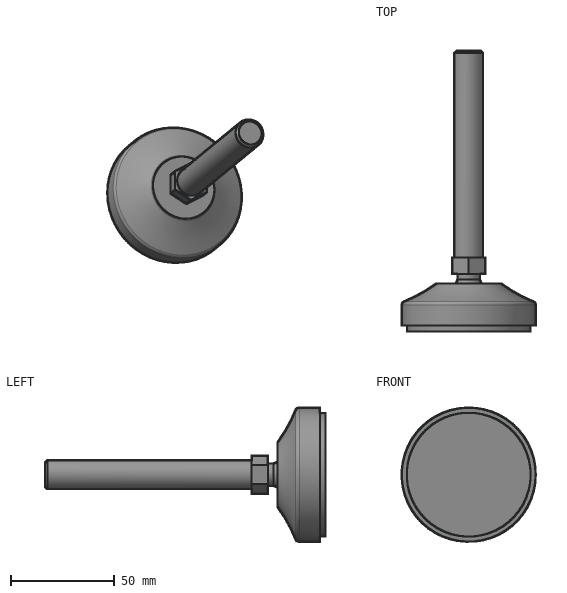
import cadquery as cq
import math

total_length = 136.0

pad_diameter = 60.0
pad_height = 2.9
foot_diameter = 65.0
rim_top = 12.8
rim_radius = 2.0
rim_round_angle = 60.0
foot_top = 23.4
top_diameter = 31.0
top_edge_drop = 0.4
top_edge_width = 0.7
slope_sag = 0.5

neck_diameter = 11.0
neck_flare = 0.7
neck_flare_top = 25.2
hex_bottom = 28.0
hex_height = 7.9
hex_across_flats = 16.0
stud_diameter = 14.0
stud_chamfer = 1.2


def make_foot():
    """Pad, rim and hollow slope, revolved about Y."""
    pad_r = pad_diameter / 2
    foot_r = foot_diameter / 2
    top_r = top_diameter / 2

    def on_rounding(degrees):
        angle = math.radians(degrees)
        return (
            foot_r - rim_radius + rim_radius * math.cos(angle),
            rim_top + rim_radius * math.sin(angle),
        )

    slope_start = on_rounding(rim_round_angle)
    slope_end = (top_r + top_edge_width, foot_top - top_edge_drop)
    return (
        cq.Workplane("XY")
        .lineTo(pad_r, 0)
        .lineTo(pad_r, pad_height)
        .lineTo(foot_r, pad_height)
        .lineTo(foot_r, rim_top)
        .threePointArc(on_rounding(rim_round_angle / 2), slope_start)
        .sagittaArc(slope_end, slope_sag)
        .lineTo(top_r, foot_top)
        .lineTo(0, foot_top)
        .close()
        .revolve(360, (0, 0, 0), (0, 1, 0))
    )


def make_stem():
    """Flared neck and chamfered stud, revolved about Y."""
    neck_r = neck_diameter / 2
    stud_r = stud_diameter / 2
    hex_middle = hex_bottom + hex_height / 2
    return (
        cq.Workplane("XY")
        .moveTo(0, foot_top)
        .lineTo(neck_r + neck_flare, foot_top)
        .lineTo(neck_r, neck_flare_top)
        .lineTo(neck_r, hex_middle)
        .lineTo(stud_r, hex_middle)
        .lineTo(stud_r, total_length - stud_chamfer)
        .lineTo(stud_r - stud_chamfer, total_length)
        .lineTo(0, total_length)
        .close()
        .revolve(360, (0, 0, 0), (0, 1, 0))
    )


def make_hexagon():
    """Wrench hexagon with flats facing +X and -X and corners on Z."""
    return (
        cq.Workplane("XZ", origin=(0, hex_bottom, 0))
        .polygon(6, hex_across_flats, circumscribed=True)
        .extrude(-hex_height)
    )


result = make_foot().union(make_stem()).union(make_hexagon())